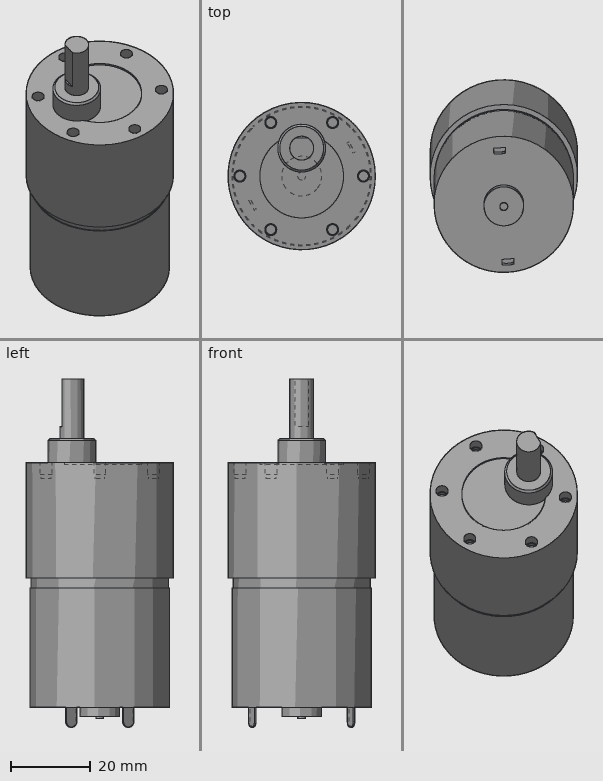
import cadquery as cq

GEARBOX_DIAMETER = 37.0
GEARBOX_HEIGHT = 29.0
RECESS_DIAMETER = 21.0
RECESS_DEPTH = 0.5

HOLE_COUNT = 6
HOLE_DIAMETER = 3.0
HOLE_CIRCLE_DIAMETER = 31.0
HOLE_DEPTH = 3.0
PILOT_DIAMETER = 2.5
PILOT_DEPTH = 4.0

NECK_DIAMETER = 34.5
NECK_HEIGHT = 2.4
MOTOR_DIAMETER = 35.0
MOTOR_HEIGHT = 30.0

REAR_BOSS_DIAMETER = 10.0
REAR_BOSS_HEIGHT = 2.3
ROTOR_DIAMETER = 2.0
ROTOR_LENGTH = 0.5

SHAFT_OFFSET = 7.0
SHAFT_BOSS_DIAMETER = 12.0
SHAFT_BOSS_HEIGHT = 6.0
SHAFT_BOSS_CHAMFER = 0.5
SHAFT_DIAMETER = 6.0
SHAFT_LENGTH = 15.0
FLAT_LENGTH = 12.0
FLAT_DEPTH = 0.5

TERMINAL_WIDTH = 3.0
TERMINAL_THICKNESS = 0.5
TERMINAL_LENGTH = 5.0
TERMINAL_RADIUS = 14.3
TERMINAL_ANGLES = (30.0, 210.0)

neck_top = -GEARBOX_HEIGHT
motor_top = neck_top - NECK_HEIGHT
motor_bottom = motor_top - MOTOR_HEIGHT
rear_boss_bottom = motor_bottom - REAR_BOSS_HEIGHT
shaft_top = SHAFT_BOSS_HEIGHT + SHAFT_LENGTH


def cylinder(diameter, z_start, height, y=0.0):
    """Vertical cylinder; a negative height extends downward."""
    return cq.Workplane("XY", origin=(0, y, z_start)).circle(diameter / 2).extrude(height)


def hole_ring(diameter, depth):
    """Cutters for all mounting holes, going down from the gearbox face."""
    return (
        cq.Workplane("XY")
        .polarArray(HOLE_CIRCLE_DIAMETER / 2, 0, 360, HOLE_COUNT)
        .circle(diameter / 2)
        .extrude(-depth)
    )


def make_gearbox():
    gearbox = cylinder(GEARBOX_DIAMETER, 0, -GEARBOX_HEIGHT)
    gearbox = gearbox.cut(cylinder(RECESS_DIAMETER, 0, -RECESS_DEPTH))
    gearbox = gearbox.cut(hole_ring(HOLE_DIAMETER, HOLE_DEPTH))
    return gearbox.cut(hole_ring(PILOT_DIAMETER, PILOT_DEPTH))


def make_motor():
    neck = cylinder(NECK_DIAMETER, neck_top, -NECK_HEIGHT)
    can = cylinder(MOTOR_DIAMETER, motor_top, -MOTOR_HEIGHT)
    rear_boss = cylinder(REAR_BOSS_DIAMETER, motor_bottom, -REAR_BOSS_HEIGHT)
    rotor_end = cylinder(ROTOR_DIAMETER, rear_boss_bottom, -ROTOR_LENGTH)
    return neck.union(can).union(rear_boss).union(rotor_end)


def make_output_shaft():
    boss = cylinder(
        SHAFT_BOSS_DIAMETER, -RECESS_DEPTH, SHAFT_BOSS_HEIGHT + RECESS_DEPTH, SHAFT_OFFSET
    )
    boss = boss.faces(">Z").chamfer(SHAFT_BOSS_CHAMFER)
    shaft = cylinder(SHAFT_DIAMETER, SHAFT_BOSS_HEIGHT, SHAFT_LENGTH, SHAFT_OFFSET)
    flat_y = SHAFT_OFFSET + SHAFT_DIAMETER / 2 - FLAT_DEPTH
    flat_bottom = shaft_top - FLAT_LENGTH
    flat_cutter = cq.Workplane("XY", origin=(0, flat_y, flat_bottom)).box(
        SHAFT_DIAMETER, SHAFT_DIAMETER, FLAT_LENGTH, centered=(True, False, False)
    )
    return boss.union(shaft.cut(flat_cutter))


def make_terminal(angle):
    """Plate facing outward from the motor axis at the given angle."""
    half_width = TERMINAL_WIDTH / 2
    tip_start = motor_bottom - TERMINAL_LENGTH + half_width
    tip = motor_bottom - TERMINAL_LENGTH
    return (
        cq.Workplane("YZ", origin=(TERMINAL_RADIUS, 0, 0))
        .moveTo(-half_width, motor_bottom)
        .lineTo(-half_width, tip_start)
        .threePointArc((0, tip), (half_width, tip_start))
        .lineTo(half_width, motor_bottom)
        .close()
        .extrude(TERMINAL_THICKNESS / 2, both=True)
        .rotate((0, 0, 0), (0, 0, 1), angle)
    )


result = make_gearbox().union(make_motor()).union(make_output_shaft())
for terminal_angle in TERMINAL_ANGLES:
    result = result.union(make_terminal(terminal_angle))